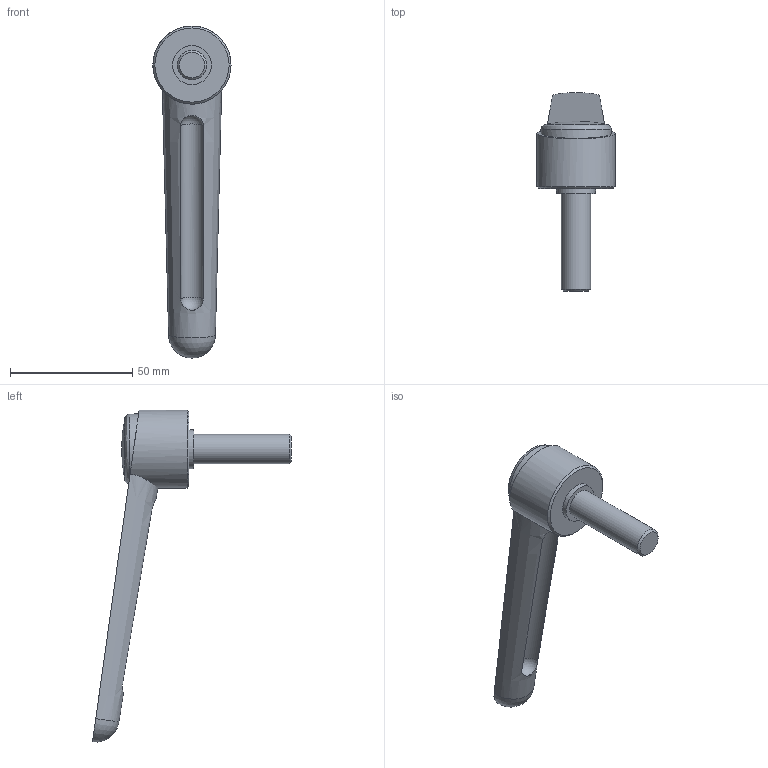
import cadquery as cq
import math


hub_radius = 16.0
hub_edge_chamfer = 0.8
collar_radius = 8.0
collar_length = 2.0
stud_radius = 6.0
stud_length = 40.0
stud_chamfer = 0.8

lever_tilt = 8.0
lever_angle = math.radians(lever_tilt)
plane_height = 22.65

cap_radius = 14.4
cap_top = 27.6
dome_radius = 62.0
cap_edge_fillet = 2.0

lever_bottom = -120.02
tip_radius = 9.6
root_radius = 12.4
lever_length = (-lever_bottom - tip_radius) / math.cos(lever_angle)

groove_radius = 4.6
groove_sink = 1.0
groove_start = 23.6
groove_end = 95.5

lever_frame = cq.Plane(
    origin=(0, plane_height, 0),
    xDir=(1, 0, 0),
    normal=(0, math.sin(lever_angle), -math.cos(lever_angle)),
)


def cylinder_along_y(radius, start, end):
    return cq.Workplane("XZ", origin=(0, end, 0)).circle(radius).extrude(end - start)


def make_hub():
    hub = cylinder_along_y(hub_radius, 0, cap_top)
    hub = hub.faces("<Y").chamfer(hub_edge_chamfer)
    size = 4 * hub_radius
    above_plane = (
        cq.Workplane("XY")
        .box(size, size, size, centered=(True, False, True))
        .rotate((0, 0, 0), (1, 0, 0), lever_tilt)
        .translate((0, plane_height, 0))
    )
    return hub.cut(above_plane)


def make_stud():
    collar = cylinder_along_y(collar_radius, -collar_length, 0)
    tip = -collar_length - stud_length
    stud = cylinder_along_y(stud_radius, tip, 0).faces("<Y").chamfer(stud_chamfer)
    return collar.union(stud)


def make_cap():
    base = plane_height / 2
    dome_drop = dome_radius - math.sqrt(dome_radius**2 - cap_radius**2)
    cap = (
        cq.Workplane("XY")
        .moveTo(0, base)
        .lineTo(cap_radius, base)
        .lineTo(cap_radius, cap_top - dome_drop)
        .radiusArc((0, cap_top), -dome_radius)
        .close()
        .revolve(360, (0, 0, 0), (0, 1, 0))
    )
    return cap.faces("%CYLINDER").edges(">Y").fillet(cap_edge_fillet)


def make_lever():
    arc_reach = tip_radius * math.sin(math.pi / 4)
    profile_plane = cq.Plane(
        origin=lever_frame.origin,
        xDir=lever_frame.xDir,
        normal=-lever_frame.yDir,
    )
    return (
        cq.Workplane(profile_plane)
        .lineTo(root_radius, 0)
        .lineTo(tip_radius, lever_length)
        .threePointArc((arc_reach, lever_length + arc_reach), (0, lever_length + tip_radius))
        .close()
        .revolve(180, (0, 0, 0), (0, 1, 0))
    )


def make_groove():
    def axis_point(distance):
        crest = root_radius + (tip_radius - root_radius) * distance / lever_length
        return lever_frame.toWorldCoords((0, crest - groove_sink, distance))

    start = axis_point(groove_start)
    end = axis_point(groove_end)
    span = end - start
    groove = cq.Workplane(cq.Solid.makeCylinder(groove_radius, span.Length, start, span))
    for centre in (start, end):
        groove = groove.union(cq.Workplane("XY").sphere(groove_radius).translate(centre))
    return groove


lever = make_lever().cut(make_groove())
result = make_hub().union(make_cap()).union(make_stud()).union(lever)